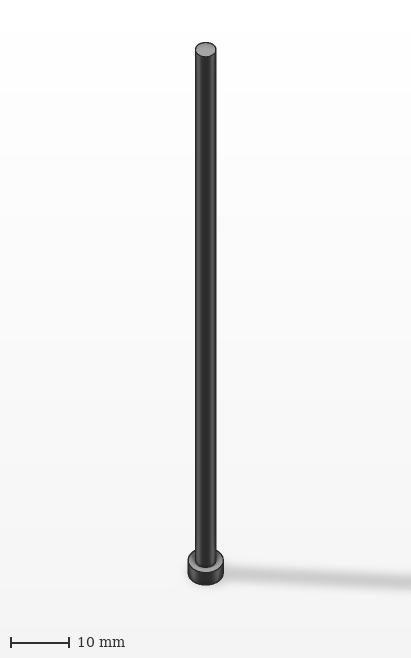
import cadquery as cq

total_length = 125.0
head_diameter = 6.0
head_height = 3.0
shaft_diameter = 3.5

shaft_length = total_length - head_height


def make_head():
    """Round head with its bottom face on Z = 0."""
    return cq.Workplane("XY").circle(head_diameter / 2).extrude(head_height)


def make_shaft():
    """Round shaft rising from the top face of the head."""
    base = cq.Workplane("XY").workplane(offset=head_height)
    return base.circle(shaft_diameter / 2).extrude(shaft_length)


result = make_head().union(make_shaft())